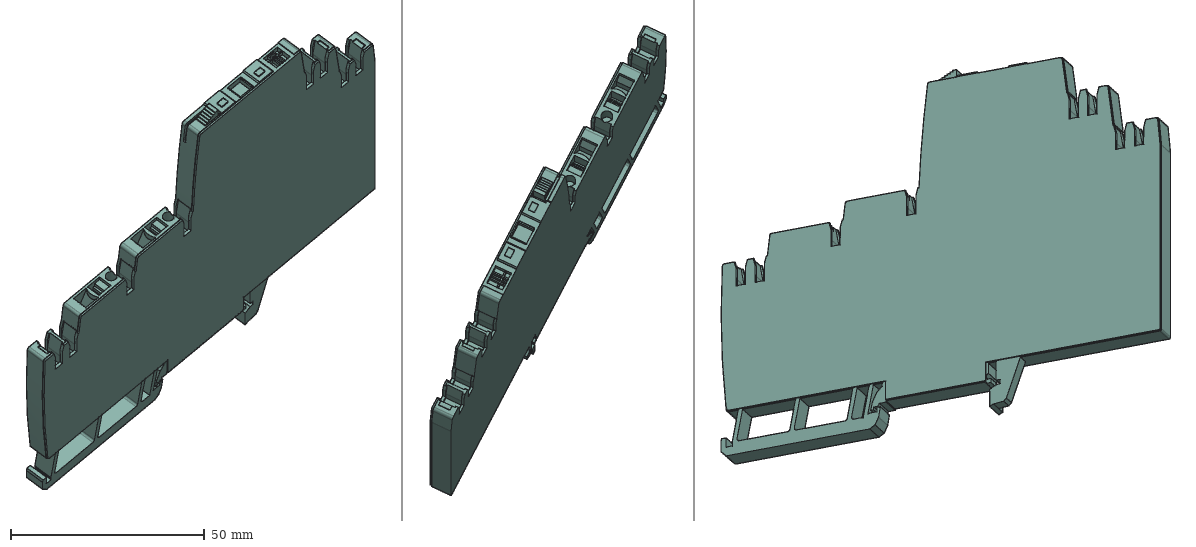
import cadquery as cq

LENGTH = 125.1
HEIGHT = 97.5
THICKNESS = 6.1
HALF_LENGTH = LENGTH / 2
COVER_THICKNESS = 0.5
COVER_INSET = 0.3
BODY_THICKNESS = THICKNESS - COVER_THICKNESS

JOIN = 0.4

HOUSING_BOTTOM = 12.4
BACK_LOW_TOP = 73.2
BACK_HIGH_TOP = 84.9
ROOF = 95.3
TOWER_FRONT = -3.9
PLATEAU_1_TOP = 65.9
PLATEAU_2_TOP = 60.8
FRONT_TOP = 54.7

SLOT_WIDTH = 2.6
SLOT_FLARE = 0.6
SLOT_MOUTH_DEPTH = 2.3
SLOTS = [
    (57.7, 66.0, BACK_LOW_TOP),
    (52.3, 66.0, BACK_LOW_TOP),
    (44.4, 77.2, BACK_HIGH_TOP),
    (39.1, 77.2, BACK_HIGH_TOP),
    (-7.0, 58.4, PLATEAU_1_TOP),
    (-28.5, 53.7, PLATEAU_2_TOP),
    (-50.0, 47.5, FRONT_TOP),
    (-55.4, 47.5, FRONT_TOP),
]
SLOT_OVERCUT = 0.3
WELL_DEPTH = 1.3
WELL_MARGIN = 0.1
WELL_FLARE = 0.9
WELL_MOUTH_DEPTH = 5.0

WALL_INNER = 0.8
FAR_WALL_INNER = 5.3

STRIP_RISE = 0.4
LED_RISE = 0.8
LED_X = 2.6
LED_WIDTH = 1.8
LED_LENGTH = 2.4
LED_CENTRES = (21.5, 7.6)
STRIP_SPANS = ((18.9, 24.5), (4.1, 10.5))
LABEL_RECESS_SPAN = (24.5, 32.3)
LABEL_RECESS_DEPTH = 0.3
RIBBED_POCKET_SPAN = (26.0, 31.1)
RIB_WIDTH = 0.4
RIB_PITCH = 0.9
RIB_COUNT = 3
CROSS_RIB_X = 2.1
WINDOW_SPAN = (12.8, 17.0)
WINDOW_LIP = 0.4
ROOF_POCKET_DEPTH = 1.9

SWITCH_X = 2.0
SWITCH_BACK = 4.1
SWITCH_FIRST_TREAD = 1.1
SWITCH_TREAD = 0.8
SWITCH_RISE = 0.4
SWITCH_STEPS = 6
SWITCH_GAP = 1.0
GROOVE_X = 1.1
GROOVE_WIDTH = 0.8
GROOVE_DEPTH = 0.8
GROOVE_BOTTOM = 89.0
GROOVE_END = -4.8

TERMINALS = ((-10.0, PLATEAU_1_TOP), (-31.5, PLATEAU_2_TOP))
SCREW_HOLE_DIAMETER = 3.0
SCREW_HOLE_X = 2.8
SCREW_HOLE_OFFSET = 2.0
SCREW_HOLE_DEPTH = 5.0
LEDGE_OFFSET = 4.3
LEDGE_LENGTH = 4.5
LEDGE_WIDTH = 4.0
LEDGE_DEPTH = 1.0
STAIR_OFFSET = 6.1
STAIR_TREAD = 0.6
STAIR_RISE = 1.0
STAIR_COUNT = 4
FUNNEL_OFFSET = 9.3
FUNNEL_LENGTH = 4.8
FUNNEL_WIDTH = 4.4
FUNNEL_DEPTH = 6.3
FUNNEL_BULGE = 0.6
FUNNEL_RAMP = 1.5
FUNNEL_STEEP_START = 0.8

MARKER_NOTCHES = (
    (59.9, BACK_LOW_TOP),
    (46.3, BACK_HIGH_TOP),
    (-58.0, FRONT_TOP),
)
MARKER_X = 1.6
MARKER_WIDTH = 3.3
MARKER_LENGTH = 1.9
MARKER_DEPTH = 0.4

FOOT_THICKNESS = 5.8
RAIL_SEAT = 7.1
CATCH_BOTTOM = 6.8
BOSS_BACK = 12.8
BOSS_FRONT = -15.6
FOOT_TOP = 3.6
STRUT_TOPS = (-19.1, -23.8, -40.0, -56.3)
STRUT_WIDTH = 1.3
STRUT_LEAN = 1.9
STRUT_FILLET = 0.6
LATCH_ARM_X = 2.5


def prism(points, x_start, x_end):
    """Closed Y-Z polygon extruded along X."""
    outline = cq.Workplane("YZ").workplane(offset=x_start).polyline(points).close()
    return outline.extrude(x_end - x_start)


def block(x_start, x_end, y_start, y_end, z_start, z_end):
    """Box given by its limits along each axis."""
    size = (x_end - x_start, y_end - y_start, z_end - z_start)
    return cq.Workplane("XY").box(*size, centered=False).translate((x_start, y_start, z_start))


def housing_body():
    """Terraced outline with a tall tower, before any slots or pockets are cut."""
    body = (
        cq.Workplane("YZ")
        .moveTo(HALF_LENGTH, HOUSING_BOTTOM)
        .lineTo(HALF_LENGTH, 65.0)
        .lineTo(61.8, BACK_LOW_TOP)
        .lineTo(49.2, BACK_LOW_TOP)
        .lineTo(47.7, BACK_HIGH_TOP)
        .lineTo(36.0, BACK_HIGH_TOP)
        .lineTo(34.6, ROOF)
        .lineTo(TOWER_FRONT, ROOF)
        .threePointArc((-5.4, 81.3), (-6.4, PLATEAU_1_TOP))
        .lineTo(-27.3, PLATEAU_1_TOP)
        .lineTo(-27.9, PLATEAU_2_TOP)
        .lineTo(-48.7, PLATEAU_2_TOP)
        .lineTo(-49.4, FRONT_TOP)
        .lineTo(-62.2, FRONT_TOP)
        .threePointArc((-HALF_LENGTH, 40.0), (-61.0, HOUSING_BOTTOM))
        .close()
        .extrude(BODY_THICKNESS)
    )
    rounded_corners = [
        (HALF_LENGTH, HOUSING_BOTTOM, 0.5),
        (61.8, BACK_LOW_TOP, 0.9),
        (47.7, BACK_HIGH_TOP, 0.9),
        (34.6, ROOF, 0.9),
        (TOWER_FRONT, ROOF, 0.9),
        (-27.3, PLATEAU_1_TOP, 1.0),
        (-48.7, PLATEAU_2_TOP, 0.8),
        (-62.2, FRONT_TOP, 0.8),
        (-61.0, HOUSING_BOTTOM, 1.0),
    ]
    for y, z, radius in rounded_corners:
        corner = cq.selectors.NearestToPointSelector((BODY_THICKNESS / 2, y, z))
        body = body.edges("|X").edges(corner).fillet(radius)
    return body


def with_cover(body):
    """Thin lid on the +X side, slightly smaller than the body outline."""
    lid = body.faces(">X").wires().toPending().workplane().offset2D(-COVER_INSET).extrude(
        COVER_THICKNESS, combine=False
    )
    return body.union(lid)


def flared_channel(y_high, y_low, floor, top, flare, mouth_depth):
    """Corners of a channel with upright walls and a mouth that widens towards the top."""
    shoulder = top - mouth_depth
    above = top + SLOT_OVERCUT
    return [
        (y_high, floor),
        (y_high, shoulder),
        (y_high + flare, top),
        (y_high + flare, above),
        (y_low - flare, above),
        (y_low - flare, top),
        (y_low, shoulder),
        (y_low, floor),
    ]


def slot(y_high, floor, top):
    """Through slot with a wider and deeper well between the side walls."""
    y_low = y_high - SLOT_WIDTH
    opening = flared_channel(y_high, y_low, floor, top, SLOT_FLARE, SLOT_MOUTH_DEPTH)
    well = flared_channel(
        y_high + WELL_MARGIN,
        y_low - WELL_MARGIN,
        floor - WELL_DEPTH,
        top,
        WELL_FLARE,
        WELL_MOUTH_DEPTH,
    )
    return prism(opening, 0, THICKNESS).union(prism(well, WALL_INNER, FAR_WALL_INNER))


def add_roof_details(part):
    """Raised strips, indicator lamps, label recess and pockets on the tower roof."""
    label_start, label_end = LABEL_RECESS_SPAN
    part = part.cut(block(0, THICKNESS, label_start, label_end, ROOF - LABEL_RECESS_DEPTH, ROOF))
    for start, end in STRIP_SPANS:
        strip = [
            (start, ROOF - JOIN),
            (start, ROOF),
            (start + STRIP_RISE, ROOF + STRIP_RISE),
            (end - STRIP_RISE, ROOF + STRIP_RISE),
            (end, ROOF),
            (end, ROOF - JOIN),
        ]
        part = part.union(prism(strip, 0, BODY_THICKNESS))
    for centre in LED_CENTRES:
        start = centre - LED_LENGTH / 2
        led = block(LED_X, LED_X + LED_WIDTH, start, start + LED_LENGTH, ROOF, ROOF + LED_RISE)
        part = part.union(led)

    pocket_floor = ROOF - ROOF_POCKET_DEPTH
    for start, end in (RIBBED_POCKET_SPAN, WINDOW_SPAN):
        part = part.cut(block(WALL_INNER, FAR_WALL_INNER, start, end, pocket_floor, ROOF))
    rib_top = ROOF - LABEL_RECESS_DEPTH - RIB_WIDTH
    pocket_middle = sum(RIBBED_POCKET_SPAN) / 2
    for i in range(RIB_COUNT):
        y = pocket_middle + (i - (RIB_COUNT - 1) / 2) * RIB_PITCH - RIB_WIDTH / 2
        part = part.union(block(WALL_INNER, FAR_WALL_INNER, y, y + RIB_WIDTH, pocket_floor, rib_top))
    cross_rib_end = CROSS_RIB_X + RIB_WIDTH
    part = part.union(block(CROSS_RIB_X, cross_rib_end, *RIBBED_POCKET_SPAN, pocket_floor, rib_top))

    lip_start = WINDOW_SPAN[0] - WINDOW_LIP
    lip_end = WINDOW_SPAN[1] + WINDOW_LIP
    return part.cut(block(WALL_INNER, FAR_WALL_INNER, lip_start, lip_end, ROOF - WINDOW_LIP, ROOF))


def add_switch(part):
    """Slide switch whose top descends in steps towards -Y, with a groove along its -X side."""
    gap_floor = ROOF - ROOF_POCKET_DEPTH
    gap_end = SWITCH_BACK + SWITCH_GAP
    part = part.cut(block(GROOVE_X, FAR_WALL_INNER, SWITCH_BACK, gap_end, gap_floor, ROOF + STRIP_RISE))

    groove_path = (
        cq.Workplane("YZ")
        .workplane(offset=GROOVE_X)
        .moveTo(SWITCH_BACK, ROOF)
        .lineTo(TOWER_FRONT, ROOF)
        .threePointArc((-4.5, 91.3), (GROOVE_END, GROOVE_BOTTOM))
        .lineTo(GROOVE_END + GROOVE_DEPTH, GROOVE_BOTTOM)
        .lineTo(TOWER_FRONT + GROOVE_DEPTH, ROOF - GROOVE_DEPTH)
        .lineTo(SWITCH_BACK, ROOF - GROOVE_DEPTH)
        .close()
        .extrude(GROOVE_WIDTH)
    )
    part = part.cut(groove_path)

    points = [(SWITCH_BACK, ROOF - JOIN), (SWITCH_BACK, HEIGHT)]
    y = SWITCH_BACK - SWITCH_FIRST_TREAD
    z = HEIGHT
    for _ in range(SWITCH_STEPS):
        points.append((y, z))
        z -= SWITCH_RISE
        points.append((y, z))
        y -= SWITCH_TREAD
    points.append((points[-1][0], ROOF - JOIN))
    return part.union(prism(points, SWITCH_X, FAR_WALL_INNER))


def terminal(start, top):
    """Screw hole, stepped ledge and wire funnel of one terminal, as a cutting solid."""
    hole = (
        cq.Workplane("XY", origin=(SCREW_HOLE_X, start - SCREW_HOLE_OFFSET, top))
        .circle(SCREW_HOLE_DIAMETER / 2)
        .extrude(-SCREW_HOLE_DEPTH)
    )
    ledge_start = start - LEDGE_OFFSET
    ledge_end = ledge_start - LEDGE_LENGTH
    ledge_x_end = WALL_INNER + LEDGE_WIDTH
    ledge = block(WALL_INNER, ledge_x_end, ledge_end, ledge_start, top - LEDGE_DEPTH, top)
    for i in range(STAIR_COUNT):
        stair_start = start - STAIR_OFFSET - i * STAIR_TREAD
        stair_floor = top - LEDGE_DEPTH - (i + 1) * STAIR_RISE
        ledge = ledge.union(block(WALL_INNER, ledge_x_end, ledge_end, stair_start, stair_floor, top))

    funnel_start = start - FUNNEL_OFFSET
    funnel_end = funnel_start - FUNNEL_LENGTH
    funnel_x_end = WALL_INNER + FUNNEL_WIDTH
    funnel_middle = WALL_INNER + FUNNEL_WIDTH / 2
    funnel = (
        cq.Workplane("XY", origin=(0, 0, top))
        .moveTo(WALL_INNER, funnel_end)
        .lineTo(WALL_INNER, funnel_start)
        .threePointArc((funnel_middle, funnel_start - FUNNEL_BULGE), (funnel_x_end, funnel_start))
        .lineTo(funnel_x_end, funnel_end)
        .close()
        .extrude(-FUNNEL_DEPTH)
    )
    funnel_floor = top - FUNNEL_DEPTH
    valley = funnel_end + FUNNEL_RAMP
    ramp = prism(
        [
            (funnel_end, top - FUNNEL_RAMP),
            (funnel_end, funnel_floor),
            (valley, funnel_floor),
            (valley, top - 2 * FUNNEL_RAMP),
        ],
        WALL_INNER,
        funnel_x_end,
    )
    steep_side = prism(
        [
            (funnel_start, top - FUNNEL_STEEP_START),
            (funnel_start, funnel_floor),
            (valley, funnel_floor),
        ],
        WALL_INNER,
        funnel_x_end,
    )
    return hole.union(ledge).union(funnel.cut(ramp).cut(steep_side))


def rail_boss():
    """Block that sits on the rail, with a catch at its back and a hook at its front.

    The cover continues down over its +X face.
    """
    boss = prism(
        [
            (13.4, HOUSING_BOTTOM + JOIN),
            (13.4, 9.5),
            (12.6, 8.6),
            (13.0, 7.9),
            (14.1, 7.9),
            (14.1, CATCH_BOTTOM),
            (BOSS_BACK, CATCH_BOTTOM),
            (BOSS_BACK, RAIL_SEAT),
            (BOSS_FRONT, RAIL_SEAT),
            (BOSS_FRONT, CATCH_BOTTOM),
            (-17.5, CATCH_BOTTOM),
            (-18.0, 6.0),
            (-19.1, 6.0),
            (-19.1, 5.3),
            (-20.0, 5.3),
            (-19.5, 7.5),
            (-18.3, 10.0),
            (-16.8, 11.5),
            (-16.8, HOUSING_BOTTOM + JOIN),
        ],
        0,
        FOOT_THICKNESS,
    )
    cover_tab = block(
        BODY_THICKNESS,
        THICKNESS,
        BOSS_FRONT,
        BOSS_BACK,
        RAIL_SEAT + COVER_INSET,
        HOUSING_BOTTOM + COVER_INSET + JOIN,
    )
    return boss.union(cover_tab)


def latch():
    """Spring latch: a full-thickness flange along the rail side, with a thinner arm behind it."""
    root = HOUSING_BOTTOM + JOIN
    shared_edge = [
        (17.4, root),
        (17.4, HOUSING_BOTTOM),
        (16.8, 11.3),
        (16.8, 8.5),
        (18.4, 7.5),
        (18.4, 5.6),
        (14.9, 4.1),
        (14.9, 0.5),
    ]
    arm_back = [(17.8, 0.8), (18.5, 1.5), (22.5, HOUSING_BOTTOM), (22.5, root)]
    flange_front = [
        (13.8, 0.0),
        (13.8, 4.9),
        (15.6, 5.9),
        (16.8, 6.0),
        (16.8, RAIL_SEAT),
        (15.6, RAIL_SEAT),
        (15.6, root),
    ]
    arm = prism(shared_edge + arm_back, LATCH_ARM_X, FOOT_THICKNESS)
    return arm.union(prism(shared_edge + flange_front, 0, FOOT_THICKNESS))


def foot():
    """Bottom bar with a pocket for the boss hook, an upturned end and leaning struts."""
    bar = prism(
        [
            (-17.3, 5.8),
            (-17.8, 2.9),
            (-18.8, 0.9),
            (-20.3, 0.0),
            (-61.0, 0.0),
            (-HALF_LENGTH, 1.5),
            (-HALF_LENGTH, 4.4),
            (-62.3, 5.1),
            (-61.0, 5.1),
            (-61.0, 2.5),
            (-59.3, 2.5),
            (-59.3, FOOT_TOP),
            (-21.8, FOOT_TOP),
            (-20.5, 4.5),
            (-18.3, 4.5),
            (-18.3, 5.8),
        ],
        0,
        FOOT_THICKNESS,
    )
    strut_bottom = FOOT_TOP - JOIN
    strut_top = HOUSING_BOTTOM + JOIN
    for y in STRUT_TOPS:
        strut = prism(
            [
                (y, strut_top),
                (y - STRUT_WIDTH, strut_top),
                (y - STRUT_WIDTH - STRUT_LEAN, strut_bottom),
                (y - STRUT_LEAN, strut_bottom),
            ],
            0,
            FOOT_THICKNESS,
        )
        bar = bar.union(strut)

    bottom_shift = STRUT_LEAN * (strut_top - FOOT_TOP) / (strut_top - strut_bottom)
    window_corners = [y - bottom_shift for y in STRUT_TOPS[1:]]
    window_corners += [y - STRUT_WIDTH - bottom_shift for y in STRUT_TOPS[1:-1]]
    for y in window_corners:
        corner = cq.selectors.NearestToPointSelector((FOOT_THICKNESS / 2, y, FOOT_TOP))
        bar = bar.edges("|X").edges(corner).fillet(STRUT_FILLET)
    return bar


result = with_cover(housing_body())
for y_high, floor, top in SLOTS:
    result = result.cut(slot(y_high, floor, top))
result = add_roof_details(result)
result = add_switch(result)
for start, top in TERMINALS:
    result = result.cut(terminal(start, top))
for y, top in MARKER_NOTCHES:
    notch = block(MARKER_X, MARKER_X + MARKER_WIDTH, y - MARKER_LENGTH, y, top - MARKER_DEPTH, top)
    result = result.cut(notch)
result = result.union(rail_boss()).union(latch()).union(foot())